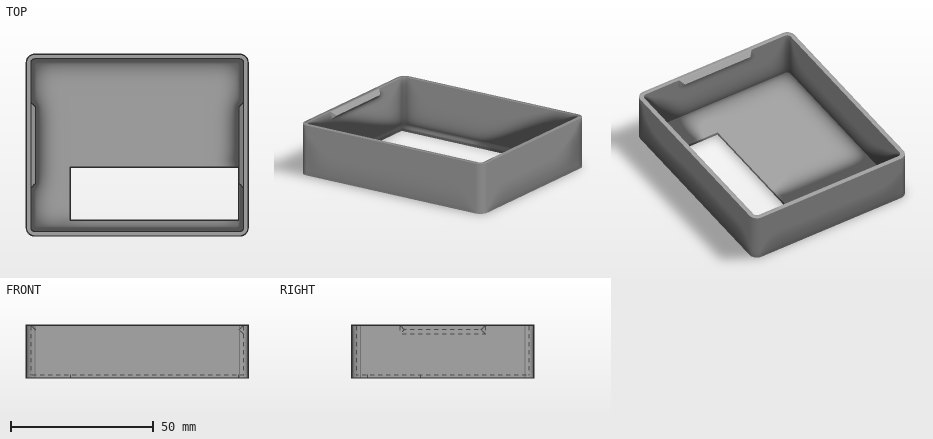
import cadquery as cq

length = 77.7
width = 63.7
height = 18.5
corner_radius = 3.0

wall = 1.6
floor = 1.0
inner_length = length - 2 * wall
inner_width = width - 2 * wall
inner_radius = corner_radius - wall

window_length = 58.75
window_width = 18.5
window_x = 6.0
window_y = -17.0

ridge_length = 30.0
ridge_depth = 1.55
ridge_top = height


def rounded_block(size_x, size_y, size_z, radius):
    """Block standing on the XY plane with rounded vertical edges."""
    block = cq.Workplane("XY").box(size_x, size_y, size_z, centered=(True, True, False))
    return block.edges("|Z").fillet(radius)


def snap_ridge(side):
    """Ridge on the inner wall at +X (side = 1) or -X (side = -1)."""
    root_x = side * inner_length / 2
    tip_x = root_x - side * ridge_depth
    half_length = ridge_length / 2
    profile = [
        (root_x, ridge_top),
        (tip_x, ridge_top - ridge_depth),
        (root_x, ridge_top - 2 * ridge_depth),
    ]
    prism = cq.Workplane("XZ").polyline(profile).close().extrude(half_length, both=True)
    mitred_plan = [
        (root_x, -half_length),
        (tip_x, -half_length + ridge_depth),
        (tip_x, half_length - ridge_depth),
        (root_x, half_length),
    ]
    plan = cq.Workplane("XY").polyline(mitred_plan).close().extrude(height)
    return prism.intersect(plan)


cavity = rounded_block(inner_length, inner_width, height - floor, inner_radius)
tray = rounded_block(length, width, height, corner_radius)
tray = tray.cut(cavity.translate((0, 0, floor)))

window = cq.Workplane("XY").center(window_x, window_y).rect(window_length, window_width).extrude(floor)
tray = tray.cut(window)

for side in (-1, 1):
    tray = tray.union(snap_ridge(side))

result = tray